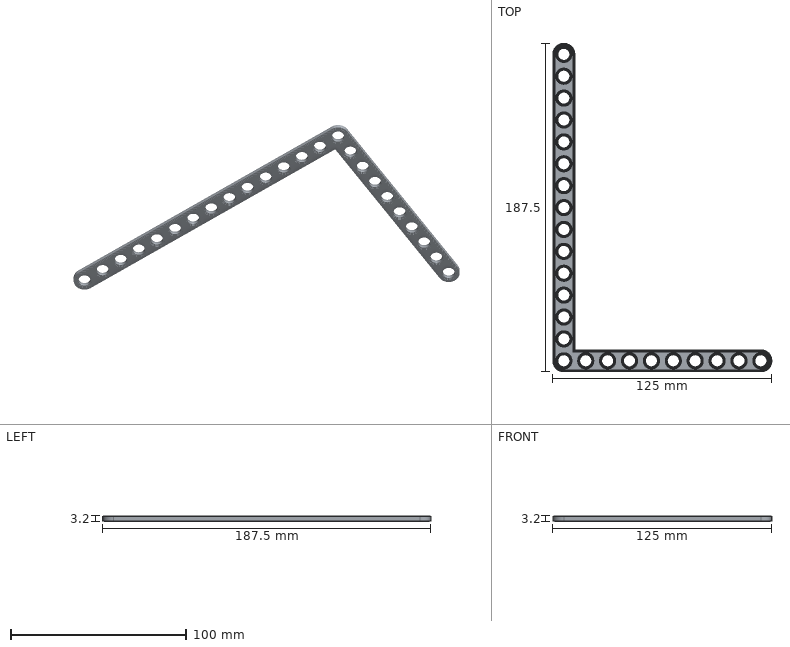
import cadquery as cq

long_arm_length = 187.5
long_arm_holes = 15
short_arm_holes = 10
thickness = 3.2
hole_diameter = 7.0
mouth_diameter = 9.2
step_count = 2
step_height = 0.15

pitch = long_arm_length / long_arm_holes
arm_width = pitch
short_arm_length = short_arm_holes * pitch

step_width = (mouth_diameter - hole_diameter) / 2 / step_count

hole_centres = [(i * pitch, 0) for i in range(short_arm_holes)]
hole_centres += [(0, i * pitch) for i in range(1, long_arm_holes)]


def arm(length, setback, height):
    """Round-ended bar along X with its first hole at the origin, inset by the setback."""
    return (
        cq.Workplane("XY")
        .center((length - arm_width) / 2, 0)
        .slot2D(length - 2 * setback, arm_width - 2 * setback)
        .extrude(height)
    )


def slab(steps_in):
    """Perforated L-shaped slab, centred in the thickness of the part.

    Each step in makes it narrower and taller, with wider holes.
    """
    setback = steps_in * step_width
    diameter = hole_diameter + 2 * setback
    face_drop = (step_count - steps_in) * step_height
    height = thickness - 2 * face_drop

    short_arm = arm(short_arm_length, setback, height)
    long_arm = arm(long_arm_length, setback, height).rotate((0, 0, 0), (0, 0, 1), 90)
    holes = cq.Workplane("XY").pushPoints(hole_centres).circle(diameter / 2).extrude(height)
    return short_arm.union(long_arm).cut(holes).translate((0, 0, face_drop))


plate = slab(0)
for steps_in in range(1, step_count + 1):
    plate = plate.union(slab(steps_in))

result = plate.clean()